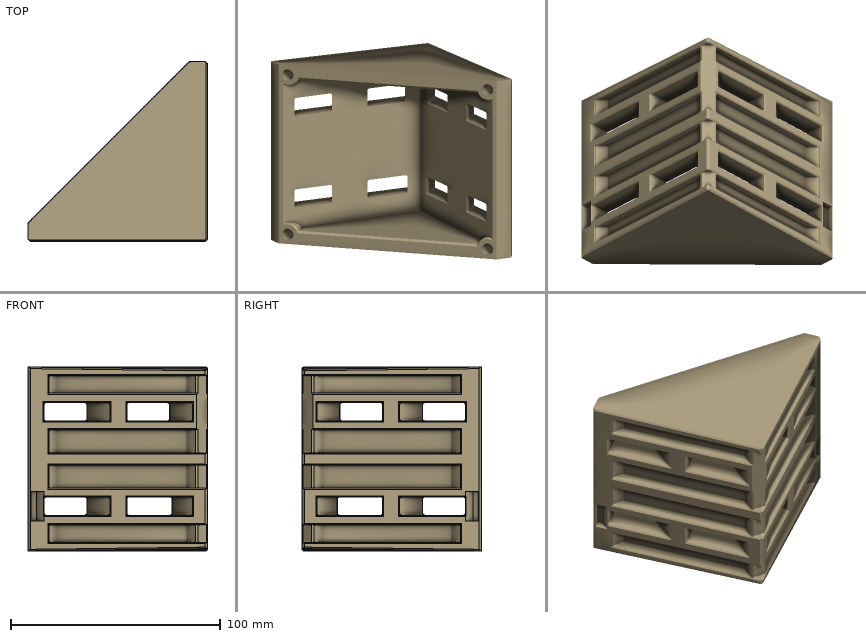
import cadquery as cq
import math

LEG = 86.0
HEIGHT = 88.0
LEG_END = 8.7
DRAFT = math.tan(math.radians(1.0))
CORNER_CHAMFER = 1.2
RIM_ROUND = 1.8
OUTLINE_CHAMFER = 0.7

WALL = 10.3
INNER_ROUND = 1.6
CAVITY_HALF_HEIGHT = 37.3
RIM_CHAMFER = 1.1

BOSS_RADIUS = 5.5
BOSS_CHAMFER = 0.5
HOLE_DIAMETER = 5.5
HOLE_DEPTH = 10.6
HOLE_FROM_END = 3.3
HOLE_HALF_SPACING = 39.25

GROOVE_DEPTH = 4.75
GROOVE_START = 9.6
GROOVE_DRAFT = 0.1
GROOVE_ROUND = 0.8
MOUTH_CHAMFER = 0.5
OUTER_GROOVE = (31.4, 39.9)
INNER_GROOVE = (2.9, 14.0)
CORNER_CUT = 5.3

SLOT_STARTS = (7.8, 47.3)
SLOT_LENGTH = 31.9
SLOT_CENTRE = 22.5
SLOT_WIDTH = 8.8
SLOT_DEPTH = 12.3
SLOT_ROUND = 0.9
END_RUN = 13.8
SHORT_RUN = 12.3

NOTCH_START = 1.5
NOTCH_DEPTH = 3.5
NOTCH_LENGTH = 6.2
NOTCH_WIDTH = 14.1
NOTCH_CENTRE = -SLOT_CENTRE

OVERLAP = 0.9
ROOT2 = math.sqrt(2)
CORNER_DISTANCE = (LEG + LEG_END) / ROOT2


def upright_prism(points, bottom, top):
    return cq.Workplane("XY").workplane(offset=bottom).polyline(points).close().extrude(top - bottom)


def drafted_band(half_height, start, end, slope):
    """Bar along the sloping face, thinning by the slope with distance from that face."""
    plane = cq.Plane(origin=(0, LEG_END, 0), xDir=(1, -1, 0), normal=(1, 1, 0))
    near = half_height - slope * start
    far = half_height - slope * end
    profile = [(start, -near), (end, -far), (end, far), (start, near)]
    return cq.Workplane(plane).polyline(profile).close().extrude(2 * LEG, both=True)


def front_taper(y_near, near, y_far, far):
    """Solid between two rectangles (x0, x1, z0, z1) lying across Y."""
    wires = []
    for y, (x0, x1, z0, z1) in ((y_near, near), (y_far, far)):
        corners = [(x0, y, z0), (x1, y, z0), (x1, y, z1), (x0, y, z1)]
        wires.append(cq.Wire.makePolygon([cq.Vector(*c) for c in corners], close=True))
    return cq.Workplane(cq.Solid.makeLoft(wires, True))


def mirrored(shape):
    """The same shape on the other leg."""
    return shape.mirror(cq.Vector(1 / ROOT2, 1 / ROOT2, 0), (LEG, 0, 0))


def mouth_chamfer(mouth, at_start, past_end):
    """Chamfers the long sides of a mouth, widening its start and running past its end."""
    x0, x1, z0, z1 = mouth
    x1 += past_end
    wide = (x0 - at_start, x1, z0 - MOUTH_CHAMFER, z1 + MOUTH_CHAMFER)
    return front_taper(0, wide, MOUTH_CHAMFER, (x0, x1, z0, z1))


def body():
    outline = [(0, 0), (LEG, 0), (LEG, LEG), (LEG - LEG_END, LEG), (0, LEG_END)]
    block = upright_prism(outline, -HEIGHT / 2, HEIGHT / 2)
    block = block.faces("<(1, -1, 0)").edges("|Z").fillet(RIM_ROUND)
    block = block.intersect(drafted_band(HEIGHT / 2, 0, CORNER_DISTANCE, DRAFT))
    block = block.faces("<Y or >X").edges("not(|Z)").chamfer(OUTLINE_CHAMFER)
    return block.faces("<Y or >X").edges("|Z").chamfer(CORNER_CHAMFER)


def cavity():
    inner = LEG - WALL
    tip = WALL - LEG_END
    outline = [(tip, WALL), (inner, WALL), (inner, LEG - tip)]
    hollow = upright_prism(outline, -HEIGHT / 2, HEIGHT / 2)
    hollow = hollow.edges(">(1, -1, 0)").fillet(INNER_ROUND)
    space = drafted_band(CAVITY_HALF_HEIGHT, 0, CORNER_DISTANCE, DRAFT)
    space = space.union(drafted_band(CAVITY_HALF_HEIGHT + RIM_CHAMFER, 0, RIM_CHAMFER, slope=1))
    bosses = boss_cylinders(BOSS_RADIUS, CORNER_DISTANCE)
    bosses = bosses.faces("<(1, -1, 0)").chamfer(BOSS_CHAMFER)
    return hollow.intersect(space).cut(bosses)


def boss_cylinders(radius, depth):
    """Cylinders square to the sloping face at the four screw positions."""
    far = LEG - LEG_END - HOLE_FROM_END
    cylinders = cq.Workplane("XY")
    for x in (HOLE_FROM_END, far):
        for z in (-HOLE_HALF_SPACING, HOLE_HALF_SPACING):
            base = cq.Vector(x, x + LEG_END, z)
            cylinders.add(cq.Solid.makeCylinder(radius, depth, base, cq.Vector(1, -1, 0)))
    return cylinders.combine()


def groove(z0, z1):
    end = LEG - CORNER_CUT
    mouth = (GROOVE_START, end, z0, z1)
    floor = (
        GROOVE_START + GROOVE_DEPTH,
        end - GROOVE_DEPTH,
        z0 + GROOVE_DRAFT,
        z1 - GROOVE_DRAFT,
    )
    cutter = front_taper(0, mouth, GROOVE_DEPTH, floor).edges("not(<Y)").fillet(GROOVE_ROUND)
    return cutter.union(mouth_chamfer(mouth, 0, CORNER_CUT + OVERLAP))


def slot(start, centre, run):
    z0 = centre - SLOT_WIDTH / 2
    z1 = centre + SLOT_WIDTH / 2
    mouth = (start, start + SLOT_LENGTH, z0, z1)
    inside = (start, start + SLOT_LENGTH - run, z0, z1)
    cutter = front_taper(0, mouth, SLOT_DEPTH, inside).edges("not(#Y)").fillet(SLOT_ROUND)
    return cutter.union(mouth_chamfer(mouth, MOUTH_CHAMFER, 0))


def notch():
    z0 = NOTCH_CENTRE - NOTCH_WIDTH / 2
    z1 = NOTCH_CENTRE + NOTCH_WIDTH / 2
    mouth = (NOTCH_START, NOTCH_START + NOTCH_LENGTH, z0, z1)
    floor = (NOTCH_START, NOTCH_START + NOTCH_LENGTH - NOTCH_DEPTH, z0, z1)
    return front_taper(0, mouth, NOTCH_DEPTH, floor)


def corner_cut(z0, z1):
    reach = CORNER_CUT + OVERLAP
    triangle = [(LEG - reach, -OVERLAP), (LEG + OVERLAP, -OVERLAP), (LEG + OVERLAP, reach)]
    prism = upright_prism(triangle, z0, z1)
    return prism.faces("<(1, -1, 0)").edges("not(|Z)").fillet(GROOVE_ROUND)


cutters = [notch()]
for low, high in (OUTER_GROOVE, INNER_GROOVE):
    cutters += [groove(low, high), groove(-high, -low)]
for start in SLOT_STARTS:
    for centre in (-SLOT_CENTRE, SLOT_CENTRE):
        shortened = start == SLOT_STARTS[-1] and centre < 0
        cutters.append(slot(start, centre, SHORT_RUN if shortened else END_RUN))

corner_cuts = [
    (INNER_GROOVE[0], OUTER_GROOVE[1]),
    (-INNER_GROOVE[1], -INNER_GROOVE[0]),
    (-OUTER_GROOVE[1], -OUTER_GROOVE[0]),
]

result = body().cut(cavity()).cut(boss_cylinders(HOLE_DIAMETER / 2, HOLE_DEPTH))
for cutter in cutters:
    result = result.cut(cutter).cut(mirrored(cutter))
for low, high in corner_cuts:
    result = result.cut(corner_cut(low, high))